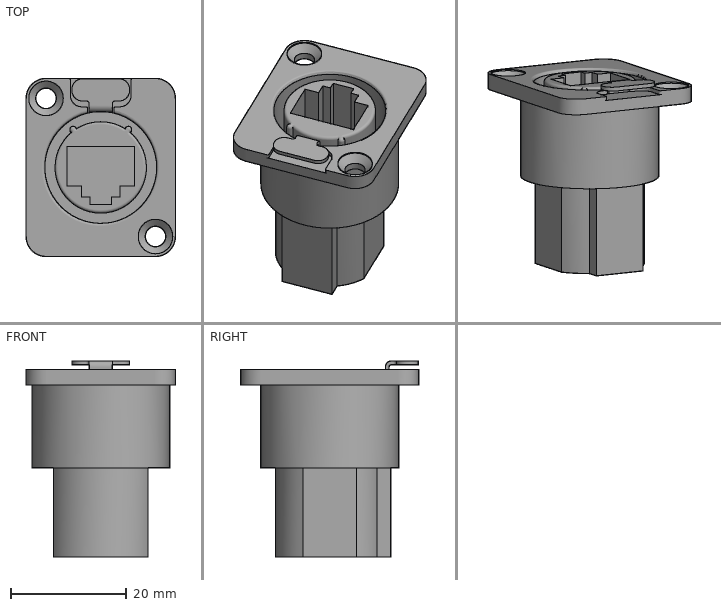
import cadquery as cq
import math

total_height = 34.1
rear_body_height = 15.5
plate_bottom = 29.87
plate_top = 32.65

plate_width = 26.0
plate_length = 31.0
plate_corner_radius = 3.5

screw_x = 9.5
screw_y = 12.0
screw_hole_diameter = 3.5
countersink_diameter = 6.0
countersink_rim_depth = 0.2
countersink_cone_depth = 1.25

barrel_radius = 12.0
rear_body_radius = 9.48
rear_flat_x = 8.25
rear_key_half_width = math.sqrt(rear_body_radius**2 - rear_flat_x**2)
rear_key_y = 10.65

channel_radius = 9.72
channel_rim_fillet = 0.5
insert_radius = 7.95
insert_rim_fillet = 0.5
channel_depth = 11.95

rib_radius = 0.58
rib_x = 4.8
rib_y = 6.58

socket_depth = channel_depth
socket_half_width = 5.9
socket_top_y = 3.68
socket_shoulder_y = -3.2
socket_step_half_width = 3.35
socket_step_y = -5.15
socket_key_half_width = 1.9
socket_bottom_y = -6.45

latch_thickness = 0.68
latch_half_width = 5.0
latch_inner_y = 11.55
latch_corner_radius = 1.8
latch_back_inset = 0.1
neck_half_width = 2.0
neck_front_y = 9.65
neck_bend_radius = 1.1
neck_root_fillet = 0.5

recess_depth = latch_thickness
recess_half_width = 5.3
recess_inner_y = 10.55
recess_corner_radius = 2.0
recess_neck_half_width = 2.3
recess_neck_fillet = 0.27
recess_mouth_fillet = 0.27

plate_back_y = plate_length / 2
latch_back_y = plate_back_y - latch_back_inset
recess_floor = plate_top - recess_depth

selection_margin = 0.05


def centred_box(half_width, y_start, y_end, z_start, z_end):
    """Box symmetric about X = 0."""
    return cq.Workplane("XY").box(
        2 * half_width, y_end - y_start, z_end - z_start, centered=(True, False, False)
    ).translate((0, y_start, z_start))


def cylinder(radius, z_start, z_end, x=0.0, y=0.0):
    return cq.Workplane("XY", origin=(x, y, z_start)).circle(radius).extrude(z_end - z_start)


def fillet_corner_pair(solid, x, y, radius):
    """Fillet the vertical edges that stand at (-x, y) and (x, y)."""
    corners = cq.selectors.BoxSelector(
        (-x - selection_margin, y - selection_margin, 0),
        (x + selection_margin, y + selection_margin, total_height),
    )
    return solid.edges("|Z").edges(corners).fillet(radius)


def make_plate():
    plate = cq.Workplane("XY", origin=(0, 0, plate_bottom)).rect(plate_width, plate_length)
    return plate.extrude(plate_top - plate_bottom).edges("|Z").fillet(plate_corner_radius)


def make_rear_body():
    body = cylinder(rear_body_radius, 0, rear_body_height)
    body = body.intersect(
        centred_box(rear_flat_x, -rear_body_radius, rear_body_radius, 0, rear_body_height)
    )
    return body.union(centred_box(rear_key_half_width, 0, rear_key_y, 0, rear_body_height))


def make_screw_cutter(x, y):
    hole = cylinder(screw_hole_diameter / 2, plate_bottom, plate_top, x, y)
    rim_bottom = plate_top - countersink_rim_depth
    rim = cylinder(countersink_diameter / 2, rim_bottom, plate_top, x, y)
    cone = (
        cq.Workplane("XY", origin=(x, y, rim_bottom))
        .circle(countersink_diameter / 2)
        .workplane(offset=-countersink_cone_depth)
        .circle(screw_hole_diameter / 2)
        .loft(combine=True)
    )
    return hole.union(rim).union(cone)


def make_insert():
    insert_bottom = plate_top - channel_depth
    insert = cylinder(insert_radius, insert_bottom, plate_top)
    for side in (-1, 1):
        insert = insert.union(cylinder(rib_radius, insert_bottom, plate_top, side * rib_x, rib_y))
    return insert.faces(">Z").edges().fillet(insert_rim_fillet)


def make_socket_cutter():
    right_side = [
        (socket_half_width, socket_top_y),
        (socket_half_width, socket_shoulder_y),
        (socket_step_half_width, socket_shoulder_y),
        (socket_step_half_width, socket_step_y),
        (socket_key_half_width, socket_step_y),
        (socket_key_half_width, socket_bottom_y),
    ]
    left_side = [(-x, y) for x, y in reversed(right_side)]
    outline = cq.Workplane("XY", origin=(0, 0, plate_top)).polyline(right_side + left_side).close()
    return outline.extrude(-socket_depth)


def make_recess_cutter():
    pocket = centred_box(recess_half_width, recess_inner_y, plate_back_y, recess_floor, plate_top)
    pocket = pocket.edges("|Z and <Y").fillet(recess_corner_radius)
    neck = centred_box(recess_neck_half_width, 0, recess_inner_y, recess_floor, plate_top)
    recess = pocket.union(neck)
    return fillet_corner_pair(recess, recess_neck_half_width, recess_inner_y, recess_neck_fillet)


def make_latch():
    tab_bottom = total_height - latch_thickness
    tab = centred_box(latch_half_width, latch_inner_y, latch_back_y, tab_bottom, total_height)
    tab = tab.edges("|Z").fillet(latch_corner_radius)
    arm = centred_box(neck_half_width, neck_front_y, latch_inner_y, tab_bottom, total_height)
    latch = fillet_corner_pair(tab.union(arm), neck_half_width, latch_inner_y, neck_root_fillet)
    leg = centred_box(
        neck_half_width, neck_front_y, neck_front_y + latch_thickness, recess_floor, total_height
    )
    latch = latch.union(leg)
    latch = latch.edges("|X and >Z and <Y").fillet(neck_bend_radius)
    inner_bend = cq.selectors.NearestToPointSelector((0, neck_front_y + latch_thickness, tab_bottom))
    return latch.edges("|X").edges(inner_bend).fillet(neck_bend_radius - latch_thickness)


def make_housing():
    barrel = cylinder(barrel_radius, rear_body_height, plate_bottom)
    channel = cylinder(channel_radius, plate_top - channel_depth, plate_top)
    housing = make_plate().union(barrel).cut(channel)
    largest_radius = cq.selectors.RadiusNthSelector(-1)
    channel_rim = housing.faces(">Z").edges("%CIRCLE").edges(largest_radius)
    housing = channel_rim.fillet(channel_rim_fillet)
    for side in (-1, 1):
        housing = housing.cut(make_screw_cutter(side * screw_x, -side * screw_y))
    housing = housing.cut(make_recess_cutter())
    return fillet_corner_pair(housing, recess_half_width, plate_back_y, recess_mouth_fillet)


insert = make_insert().cut(make_socket_cutter())
result = make_housing().union(make_rear_body()).union(insert).union(make_latch())